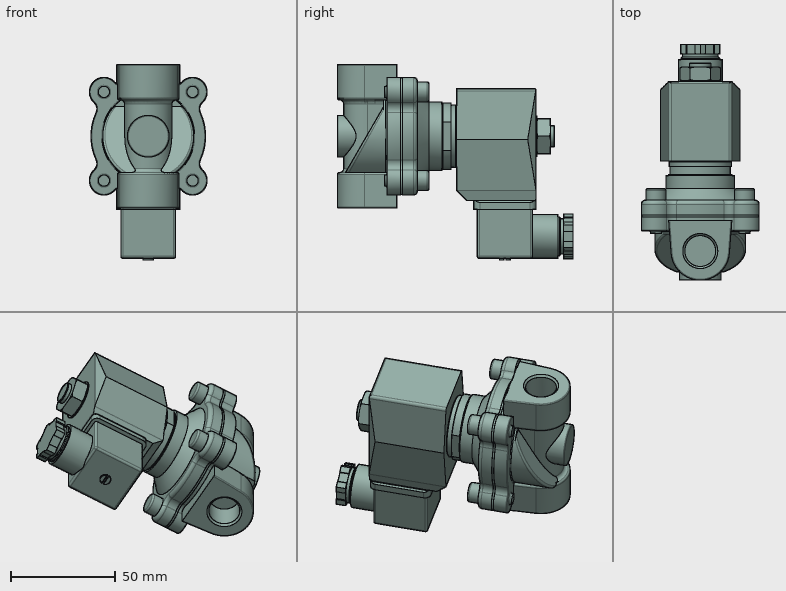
import cadquery as cq
import math


PAD_RADIUS = 14.0
PAD_DRAFT = 4.4
PAD_BACK_Y = 14.6
PAD_INNER_Z = 17.4
PORT_HALF_LENGTH = 34.4
PAD_END_FILLET = 0.5
PAD_INNER_FILLET = 1.0
PORT_BORE_RADIUS = 7.4
PORT_MOUTH_CHAMFER = 1.0
PORT_DEPTH = 14.0
PIPE_RADIUS = 11.35
PIPE_AXIS_Y = 0.35
PIPE_ROOT_FILLET = 2.0
BOSS_RADIUS = 10.0
BOSS_END_FILLET = 0.4

BOWL_RADIUS = 21.8
BOWL_SLOPE = 30.0
BOWL_RIM_Y = 8.2
BOWL_EDGE_FILLET = 1.0
FLANGE_ROOT_FILLET = 0.5

FLANGE_RADIUS = 27.5
LOBE_RADIUS = 7.0
LOBE_OFFSET = 21.245
LOBE_BLEND_RADIUS = 4.0
FLANGE_BOTTOM_Y = 9.7
JOINT_Y = 16.3
BONNET_FLANGE_Y = 17.3
BONNET_FLANGE_TOP_Y = 24.4
FLANGE_EDGE_FILLET = 0.4
BONNET_EDGE_FILLET = 2.0
GASKET_INSET = 0.2
BOLT_RADIUS = 2.7
BOLT_TIP_Y = 8.5
SCREW_HEAD_RADIUS = 4.8
SCREW_HEAD_TOP_Y = 29.95
SCREW_HEAD_FILLET = 0.9

CONE_BASE_RADIUS = 23.0
RING_RADIUS = 16.5
RING_TOP_Y = 36.1
GROOVE_RADIUS = 15.3
GROOVE_TOP_Y = 36.6
SPANNER_RADIUS = 16.0
SPANNER_HALF_FLATS = 14.5
SPANNER_TOP_Y = 40.5
COLLAR_RADIUS = 15.0
COLLAR_CHAMFER = 0.4

COIL_BOTTOM_Y = 43.15
COIL_TOP_Y = 81.25
COIL_TOP_Z = 22.85
COIL_BOTTOM_Z = -26.0
COIL_WIDEST_Z = (COIL_TOP_Z + COIL_BOTTOM_Z) / 2
COIL_HALF_WIDTH = 19.1
COIL_END_HALF_WIDTH = 15.1
COIL_SIDE_FILLET = 1.5
COIL_END_FILLET = 0.9
CHIN_BOTTOM_Z = -30.9
CHIN_HALF_WIDTH = 13.9

WASHER_RADIUS = 9.6
WASHER_TOP_Y = 81.7
COIL_NUT_FLATS = 17.0
COIL_NUT_TOP_Y = 88.15
COIL_NUT_BEVEL_DEPTH = 0.45
COIL_NUT_BEVEL_WIDTH = 0.8
STUB_RADIUS = 5.1
STUB_TOP_Y = 90.2
STUB_CHAMFER = 0.4

SEAL_HALF_WIDTH = 15.2
SEAL_FRONT_Y = 51.35
SEAL_BOTTOM_Z = -35.1
SEAL_CORNER_RADIUS = 3.0
SEAL_SIDE_CHAMFER = 0.8
PLUG_HALF_WIDTH = 13.15
PLUG_FRONT_Y = 53.0
PLUG_BACK_Y = 79.65
PLUG_BOTTOM_Z = -58.6
PLUG_FILLET = 1.1
PLUG_SCREW_RADIUS = 2.6
PLUG_SCREW_SLOT = 0.9
PLUG_SCREW_BOTTOM_Z = -59.4

GLAND_Z = -48.0
GLAND_RADIUS = 10.55
GLAND_TOP_Y = 91.7
GLAND_STEP_RADIUS = 9.35
GLAND_STEP_TOP_Y = 92.9
GLAND_STEP_CHAMFER = 0.5
GLAND_NECK_RADIUS = 8.55
GLAND_NUT_Y = 94.5
GLAND_NUT_TOP_Y = 99.05
GLAND_NUT_FLATS = 18.7
NUT_NOTCH_WIDTH = 4.8
NUT_NOTCH_DEPTH = 0.7

HEX_SIDES = 6
SELECT_MARGIN = 0.1
CUTTER_REACH = 40.0
LOBE_CENTERS = [(sx * LOBE_OFFSET, sz * LOBE_OFFSET) for sx in (-1, 1) for sz in (-1, 1)]


def across_y(y, z=0.0):
    """Sketch plane across the Y axis: local x is X, local y is Z."""
    return cq.Workplane("XZ", origin=(0, y, z))


def disc(radius, y_start, y_end, z=0.0):
    return across_y(y_start, z).circle(radius).extrude(y_start - y_end)


def box_between(x_half, y_start, y_end, z_start, z_end):
    return (
        cq.Workplane("XY", origin=(0, 0, z_start))
        .moveTo(0, (y_start + y_end) / 2)
        .rect(2 * x_half, y_end - y_start)
        .extrude(z_end - z_start)
    )


def hexagon(across_flats, y_start, y_end, z=0.0):
    """Hexagonal prism along Y with two corners on the local X axis."""
    corner_diameter = across_flats / math.cos(math.pi / HEX_SIDES)
    return across_y(y_start, z).polygon(HEX_SIDES, corner_diameter).extrude(y_start - y_end)


def d_prism(radius, axis_y, draft, z_start, z_end):
    """Prism along Z: round toward -Y, with straight sides running back to PAD_BACK_Y."""
    angle = math.radians(draft)
    touch_x = radius * math.cos(angle)
    touch_y = axis_y - radius * math.sin(angle)
    back_x = touch_x + (PAD_BACK_Y - touch_y) * math.tan(angle)
    return (
        cq.Workplane("XY", origin=(0, 0, z_start))
        .moveTo(back_x, PAD_BACK_Y)
        .lineTo(touch_x, touch_y)
        .threePointArc((0, axis_y - radius), (-touch_x, touch_y))
        .lineTo(-back_x, PAD_BACK_Y)
        .close()
        .extrude(z_end - z_start)
    )


def make_pad():
    """Upper port pad, with the rim rounded at both ends."""
    pad = d_prism(PAD_RADIUS, 0.0, PAD_DRAFT, PAD_INNER_Z, PORT_HALF_LENGTH)
    pad = pad.faces(">Z").edges("not(>Y)").fillet(PAD_END_FILLET)
    return pad.faces("<Z").edges("not(>Y)").fillet(PAD_INNER_FILLET)


def make_ports():
    pad = make_pad()
    pipe = d_prism(PIPE_RADIUS, PIPE_AXIS_Y, 0.0, -PAD_INNER_Z, PAD_INNER_Z)
    ports = pipe.union(pad).union(pad.mirror("XY"))
    roots = cq.selectors.BoxSelector(
        (-PIPE_RADIUS - SELECT_MARGIN, -PIPE_RADIUS, -PAD_INNER_Z - SELECT_MARGIN),
        (PIPE_RADIUS + SELECT_MARGIN, PAD_BACK_Y - SELECT_MARGIN, PAD_INNER_Z + SELECT_MARGIN),
    )
    return ports.edges(roots).edges("not(|Z)").fillet(PIPE_ROOT_FILLET)


def make_port_bore():
    """Cutter for the upper port: blind bore with a chamfered mouth."""
    bore = (
        cq.Workplane("XY", origin=(0, 0, PORT_HALF_LENGTH - PORT_DEPTH))
        .circle(PORT_BORE_RADIUS)
        .extrude(PORT_DEPTH)
    )
    mouth_radius = PORT_BORE_RADIUS + PORT_MOUTH_CHAMFER
    mouth = cq.Solid.makeCone(
        PORT_BORE_RADIUS,
        mouth_radius,
        PORT_MOUTH_CHAMFER,
        pnt=cq.Vector(0, 0, PORT_HALF_LENGTH - PORT_MOUTH_CHAMFER),
        dir=cq.Vector(0, 0, 1),
    )
    return bore.union(cq.Workplane(mouth))


def make_bowl():
    """Round bowl below the lower flange, cut off by a sloped face and clear of the lower port."""
    slope = math.tan(math.radians(BOWL_SLOPE))
    bowl = disc(BOWL_RADIUS, -BOWL_RADIUS, FLANGE_BOTTOM_Y)
    cutter = (
        cq.Workplane("YZ", origin=(-CUTTER_REACH, 0, 0))
        .polyline([
            (BOWL_RIM_Y, BOWL_RIM_Y / slope),
            (BOWL_RIM_Y, CUTTER_REACH),
            (-CUTTER_REACH, CUTTER_REACH),
            (-CUTTER_REACH, -CUTTER_REACH / slope),
        ])
        .close()
        .extrude(2 * CUTTER_REACH)
    )
    bowl = bowl.cut(cutter)
    sloped_face = cq.selectors.ParallelDirSelector(cq.Vector(0, -1, slope))
    bowl = bowl.faces(sloped_face).edges("not(|X)").fillet(BOWL_EDGE_FILLET)
    lower_port_space = box_between(
        CUTTER_REACH, -CUTTER_REACH, 0.0, -CUTTER_REACH, -PAD_INNER_Z
    )
    return bowl.cut(lower_port_space)


def flange_plate(y_start, y_end, inset=0.0):
    """Round plate with four bolt lobes blended into its rim."""
    plate = disc(FLANGE_RADIUS - inset, y_start, y_end)
    lobes = across_y(y_start).pushPoints(LOBE_CENTERS).circle(LOBE_RADIUS - inset)
    plate = plate.union(lobes.extrude(y_start - y_end))
    return plate.edges("|Y").fillet(LOBE_BLEND_RADIUS)


def make_bowl_and_flange():
    """Lower flange with the bolt tips and the bowl rising from it through root fillets."""
    flange = flange_plate(FLANGE_BOTTOM_Y, JOINT_Y)
    flange = flange.faces("<Y").edges().fillet(FLANGE_EDGE_FILLET)
    bolts = across_y(BOLT_TIP_Y).pushPoints(LOBE_CENTERS).circle(BOLT_RADIUS)
    flange = flange.union(bolts.extrude(BOLT_TIP_Y - FLANGE_BOTTOM_Y)).union(make_bowl())
    bottom_edges = cq.selectors.BoxSelector(
        (-CUTTER_REACH, FLANGE_BOTTOM_Y - SELECT_MARGIN, -CUTTER_REACH),
        (CUTTER_REACH, FLANGE_BOTTOM_Y + SELECT_MARGIN, CUTTER_REACH),
    )
    roots = flange.edges(bottom_edges).edges("%CIRCLE").filter(
        lambda edge: edge.radius() in (BOLT_RADIUS, BOWL_RADIUS)
    )
    return roots.fillet(FLANGE_ROOT_FILLET)


def make_bonnet_flange():
    gasket = flange_plate(JOINT_Y, BONNET_FLANGE_Y, GASKET_INSET)
    flange = flange_plate(BONNET_FLANGE_Y, BONNET_FLANGE_TOP_Y)
    flange = flange.faces(">Y").edges().fillet(BONNET_EDGE_FILLET)
    heads = across_y(BONNET_FLANGE_TOP_Y).pushPoints(LOBE_CENTERS).circle(SCREW_HEAD_RADIUS)
    heads = heads.extrude(BONNET_FLANGE_TOP_Y - SCREW_HEAD_TOP_Y)
    heads = heads.faces(">Y").edges().fillet(SCREW_HEAD_FILLET)
    return gasket.union(flange).union(heads)


def make_bonnet():
    cone = cq.Workplane(cq.Solid.makeCone(
        CONE_BASE_RADIUS,
        RING_RADIUS,
        SCREW_HEAD_TOP_Y - BONNET_FLANGE_TOP_Y,
        pnt=cq.Vector(0, BONNET_FLANGE_TOP_Y, 0),
        dir=cq.Vector(0, 1, 0),
    ))
    ring = disc(RING_RADIUS, SCREW_HEAD_TOP_Y, RING_TOP_Y)
    groove = disc(GROOVE_RADIUS, RING_TOP_Y, GROOVE_TOP_Y)
    spanner = disc(SPANNER_RADIUS, GROOVE_TOP_Y, SPANNER_TOP_Y)
    spanner = spanner.intersect(box_between(
        SPANNER_HALF_FLATS, GROOVE_TOP_Y, SPANNER_TOP_Y, -SPANNER_RADIUS, SPANNER_RADIUS
    ))
    collar = disc(COLLAR_RADIUS, SPANNER_TOP_Y, COIL_BOTTOM_Y)
    collar = collar.faces(">Y").edges().chamfer(COLLAR_CHAMFER)
    return cone.union(ring).union(groove).union(spanner).union(collar)


def make_coil():
    """Coil housing with bulging sides, a rounded +Y end and a chin that carries the plug."""
    coil = (
        across_y(COIL_BOTTOM_Y)
        .polyline([
            (-COIL_END_HALF_WIDTH, COIL_TOP_Z),
            (COIL_END_HALF_WIDTH, COIL_TOP_Z),
            (COIL_HALF_WIDTH, COIL_WIDEST_Z),
            (COIL_END_HALF_WIDTH, COIL_BOTTOM_Z),
            (-COIL_END_HALF_WIDTH, COIL_BOTTOM_Z),
            (-COIL_HALF_WIDTH, COIL_WIDEST_Z),
        ])
        .close()
        .extrude(COIL_BOTTOM_Y - COIL_TOP_Y)
        .edges("|Y and >Z")
        .fillet(COIL_SIDE_FILLET)
    )
    chin_height = COIL_BOTTOM_Z - CHIN_BOTTOM_Z
    chin = (
        across_y(COIL_BOTTOM_Y)
        .polyline([
            (-COIL_END_HALF_WIDTH, COIL_BOTTOM_Z),
            (COIL_END_HALF_WIDTH, COIL_BOTTOM_Z),
            (CHIN_HALF_WIDTH, CHIN_BOTTOM_Z),
            (-CHIN_HALF_WIDTH, CHIN_BOTTOM_Z),
        ])
        .close()
        .extrude(COIL_BOTTOM_Y - COIL_TOP_Y)
    )
    sloped_front = (
        cq.Workplane("YZ", origin=(-COIL_END_HALF_WIDTH, 0, 0))
        .polyline([
            (COIL_BOTTOM_Y, COIL_BOTTOM_Z),
            (COIL_TOP_Y, COIL_BOTTOM_Z),
            (COIL_TOP_Y, CHIN_BOTTOM_Z),
            (COIL_BOTTOM_Y + chin_height, CHIN_BOTTOM_Z),
        ])
        .close()
        .extrude(2 * COIL_END_HALF_WIDTH)
    )
    rounded_end = (
        box_between(COIL_HALF_WIDTH, COIL_BOTTOM_Y, COIL_TOP_Y, CHIN_BOTTOM_Z, COIL_TOP_Z)
        .edges("|Z and >Y")
        .chamfer(COIL_HALF_WIDTH - COIL_END_HALF_WIDTH)
        .faces(">Y")
        .edges()
        .fillet(COIL_END_FILLET)
    )
    return coil.union(chin.intersect(sloped_front)).intersect(rounded_end)


def make_coil_nut():
    washer = disc(WASHER_RADIUS, COIL_TOP_Y, WASHER_TOP_Y)
    nut = hexagon(COIL_NUT_FLATS, WASHER_TOP_Y, COIL_NUT_TOP_Y)
    corner_radius = COIL_NUT_FLATS / 2 / math.cos(math.pi / HEX_SIDES)
    bevel = disc(corner_radius, WASHER_TOP_Y, COIL_NUT_TOP_Y)
    bevel = bevel.faces("<Y").edges().chamfer(COIL_NUT_BEVEL_DEPTH, COIL_NUT_BEVEL_WIDTH)
    bevel = bevel.faces(">Y").edges().chamfer(COIL_NUT_BEVEL_DEPTH, COIL_NUT_BEVEL_WIDTH)
    nut = nut.intersect(bevel)
    stub = disc(STUB_RADIUS, COIL_NUT_TOP_Y, STUB_TOP_Y)
    stub = stub.faces(">Y").edges().chamfer(STUB_CHAMFER)
    return washer.union(nut).union(stub)


def make_plug():
    seal = box_between(SEAL_HALF_WIDTH, SEAL_FRONT_Y, COIL_TOP_Y, SEAL_BOTTOM_Z, CHIN_BOTTOM_Z)
    seal = seal.edges("|Y and >Z").chamfer(SEAL_SIDE_CHAMFER)
    seal = seal.edges("|Z").fillet(SEAL_CORNER_RADIUS)
    plug = box_between(PLUG_HALF_WIDTH, PLUG_FRONT_Y, PLUG_BACK_Y, PLUG_BOTTOM_Z, SEAL_BOTTOM_Z)
    plug = plug.edges("|Z or <Z").fillet(PLUG_FILLET)
    screw_y = (PLUG_FRONT_Y + PLUG_BACK_Y) / 2
    screw = (
        cq.Workplane("XY", origin=(0, screw_y, PLUG_SCREW_BOTTOM_Z))
        .circle(PLUG_SCREW_RADIUS)
        .extrude(PLUG_BOTTOM_Z - PLUG_SCREW_BOTTOM_Z)
    )
    slot = box_between(
        PLUG_SCREW_RADIUS,
        screw_y - PLUG_SCREW_SLOT / 2,
        screw_y + PLUG_SCREW_SLOT / 2,
        PLUG_SCREW_BOTTOM_Z,
        PLUG_BOTTOM_Z,
    )
    return seal.union(plug).union(screw.cut(slot))


def make_gland_nut():
    """Hexagon with flats facing X and a shallow notch across the middle of every flat."""
    nut = hexagon(GLAND_NUT_FLATS, GLAND_NUT_Y, GLAND_NUT_TOP_Y)
    notch = (
        across_y(GLAND_NUT_Y)
        .center(0, GLAND_NUT_FLATS / 2)
        .rect(NUT_NOTCH_WIDTH, 2 * NUT_NOTCH_DEPTH)
        .extrude(GLAND_NUT_Y - GLAND_NUT_TOP_Y)
    )
    step = 360.0 / HEX_SIDES
    for side in range(HEX_SIDES):
        nut = nut.cut(notch.rotate((0, 0, 0), (0, 1, 0), side * step))
    return nut.rotate((0, 0, 0), (0, 1, 0), step / 2).translate((0, 0, GLAND_Z))


def make_gland():
    barrel = disc(GLAND_RADIUS, PLUG_BACK_Y - PLUG_FILLET, GLAND_TOP_Y, GLAND_Z)
    step = disc(GLAND_STEP_RADIUS, GLAND_TOP_Y, GLAND_STEP_TOP_Y, GLAND_Z)
    step = step.faces(">Y").edges().chamfer(GLAND_STEP_CHAMFER)
    neck = disc(GLAND_NECK_RADIUS, GLAND_STEP_TOP_Y, GLAND_NUT_Y, GLAND_Z)
    return barrel.union(step).union(neck).union(make_gland_nut())


def make_boss():
    boss = disc(BOSS_RADIUS, -PAD_RADIUS, 0.0)
    return boss.faces("<Y").edges().fillet(BOSS_END_FILLET)


body = make_bowl_and_flange().union(make_ports()).union(make_boss())
bore = make_port_bore()
body = body.cut(bore).cut(bore.mirror("XY"))

result = body
for assembly_piece in (
    make_bonnet_flange(),
    make_bonnet(),
    make_coil(),
    make_coil_nut(),
    make_plug(),
    make_gland(),
):
    result = result.union(assembly_piece)